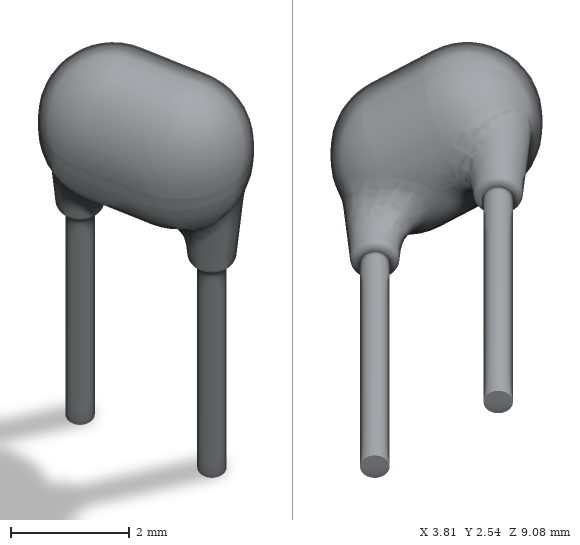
import cadquery as cq

total_height = 9.08
coating_width = 3.81
coating_depth = 2.54
coating_radius = coating_depth / 2
end_center_x = coating_width / 2 - coating_radius

band_height = 0.27
upper_center_z = total_height - coating_radius
lower_center_z = upper_center_z - band_height

lead_diameter = 0.5
lead_pitch = 2.54
lead_top_z = lower_center_z
lead_positions = [-lead_pitch / 2, lead_pitch / 2]

collar_bottom_z = 5.28
collar_edge_radius = 0.13
collar_bottom_radius = 0.41
collar_top_radius = 0.6
collar_top_z = lower_center_z
collar_blend_radius = 0.82


def make_pill():
    """Coating without collars: domed top, straight band and domed underside."""
    half_profile = (
        cq.Workplane("XZ")
        .moveTo(0, lower_center_z - coating_radius)
        .radiusArc((coating_radius, lower_center_z), -coating_radius)
        .lineTo(coating_radius, upper_center_z)
        .radiusArc((0, total_height), -coating_radius)
        .close()
    )
    end = half_profile.revolve(360, (0, 0, 0), (0, 1, 0))
    middle = (
        cq.Workplane("YZ", origin=(-end_center_x, 0, 0))
        .moveTo(-coating_radius, lower_center_z)
        .radiusArc((coating_radius, lower_center_z), -coating_radius)
        .lineTo(coating_radius, upper_center_z)
        .radiusArc((-coating_radius, upper_center_z), -coating_radius)
        .close()
        .extrude(2 * end_center_x)
    )
    pill = middle
    for x in (-end_center_x, end_center_x):
        pill = pill.union(end.translate((x, 0, 0)))
    return pill


def make_collar(x):
    """Cone around a lead, widening upward into the coating, with a rounded lower rim."""
    cone = cq.Solid.makeCone(
        collar_bottom_radius,
        collar_top_radius,
        collar_top_z - collar_bottom_z,
        pnt=cq.Vector(x, 0, collar_bottom_z),
    )
    return cq.Workplane(cone).faces("<Z").edges().fillet(collar_edge_radius)


def is_collar_junction(edge):
    """True for the closed curve where a collar meets the domed underside."""
    box = edge.BoundingBox()
    return edge.geomType() == "BSPLINE" and box.zmin > collar_bottom_z and box.zmax < lower_center_z


def make_coating(leads):
    """Pill and blended collars, with a fitting blind hole for each lead."""
    coating = make_pill()
    for x in lead_positions:
        coating = coating.union(make_collar(x))
    junctions = [edge for edge in coating.edges().vals() if is_collar_junction(edge)]
    coating = coating.newObject(junctions).fillet(collar_blend_radius)
    for lead in leads:
        coating = coating.cut(lead)
    return coating


def make_lead(x):
    """Straight round wire ending inside the coating."""
    return cq.Workplane("XY", origin=(x, 0, 0)).circle(lead_diameter / 2).extrude(lead_top_z)


leads = [make_lead(x) for x in lead_positions]
coating = make_coating(leads)

result = cq.Compound.makeCompound([coating.val(), *[lead.val() for lead in leads]])